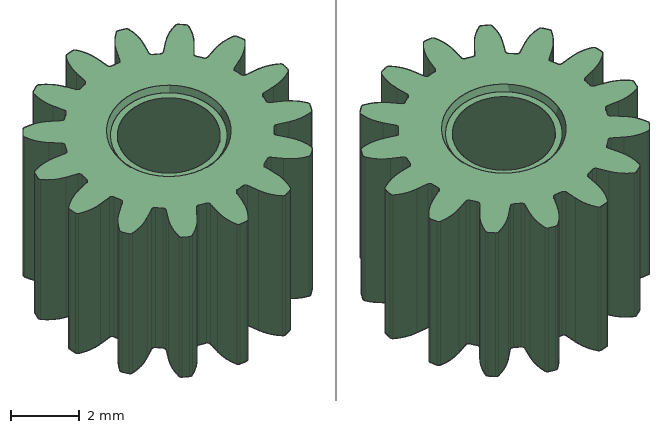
import cadquery as cq
import math

tooth_count = 15
module = 0.5
pressure_angle = math.radians(20)
tip_radius = 4.25
root_radius = 3.075
tooth_foot_width = 0.903
root_fillet = 0.1
tip_fillet = 0.1
face_width = 6.0

bore_diameter = 3.0
recess_floor_diameter = 3.4
recess_depth = 0.2
recess_wall_angle = math.radians(30)

pitch_radius = module * tooth_count / 2
base_radius = pitch_radius * math.cos(pressure_angle)
pitch_angle = 2 * math.pi / tooth_count
mid_flank_radius = (base_radius + tip_radius) / 2
first_tooth_angle = math.pi


def involute(angle):
    """Involute function of a pressure angle."""
    return math.tan(angle) - angle


def half_tooth_angle(radius):
    """Angle from the tooth centre line to the involute flank at a radius."""
    local_pressure_angle = math.acos(base_radius / radius)
    return pitch_angle / 4 + involute(pressure_angle) - involute(local_pressure_angle)


def polar(radius, angle):
    """XY point at a radius and angle about the gear axis."""
    return (radius * math.cos(angle), radius * math.sin(angle))


def flank_point(radius, side):
    """Point on a flank of the tooth centred on the X axis; side is +1 or -1."""
    return polar(radius, side * half_tooth_angle(radius))


def fillet_edges_at(body, points, fillet_radius):
    """Round the lengthwise edges that run through the given XY points."""
    edges = cq.Workplane("XY").newObject([])
    for point in points:
        nearest = cq.selectors.NearestToPointSelector((*point, face_width / 2))
        edges = edges.add(body.edges("|Z").edges(nearest))
    return cq.Workplane("XY").newObject([body.val().fillet(fillet_radius, edges.vals())])


def make_tooth():
    """One tooth centred on the X axis, with half of the root land on each side."""
    foot_angle = math.asin(tooth_foot_width / 2 / root_radius)
    land_middle_angle = (foot_angle + pitch_angle / 2) / 2
    right_foot = polar(root_radius, -foot_angle)
    left_foot = polar(root_radius, foot_angle)
    right_tip = flank_point(tip_radius, -1)
    left_tip = flank_point(tip_radius, 1)
    right_gap = polar(root_radius, -pitch_angle / 2)
    left_gap = polar(root_radius, pitch_angle / 2)
    right_land_middle = polar(root_radius, -land_middle_angle)
    left_land_middle = polar(root_radius, land_middle_angle)
    tooth = (
        cq.Workplane("XY")
        .lineTo(*right_gap)
        .threePointArc(right_land_middle, right_foot)
        .lineTo(*flank_point(base_radius, -1))
        .threePointArc(flank_point(mid_flank_radius, -1), right_tip)
        .threePointArc((tip_radius, 0), left_tip)
        .threePointArc(flank_point(mid_flank_radius, 1), flank_point(base_radius, 1))
        .lineTo(*left_foot)
        .threePointArc(left_land_middle, left_gap)
        .close()
        .extrude(face_width)
    )
    tooth = fillet_edges_at(tooth, [right_tip, left_tip], tip_fillet)
    return fillet_edges_at(tooth, [right_foot, left_foot], root_fillet)


def make_toothed_body():
    tooth = make_tooth()
    body = cq.Workplane("XY").circle(root_radius).extrude(face_width)
    for index in range(tooth_count):
        turn = math.degrees(first_tooth_angle + index * pitch_angle)
        body = body.union(tooth.rotate((0, 0, 0), (0, 0, 1), turn))
    return body.clean()


def make_bore():
    """Revolved cutter: through bore with a tapered recess at the top face."""
    floor_height = face_width - recess_depth
    floor_radius = recess_floor_diameter / 2
    rim_radius = floor_radius + recess_depth * math.tan(recess_wall_angle)
    return (
        cq.Workplane("XZ")
        .moveTo(0, 0)
        .lineTo(bore_diameter / 2, 0)
        .lineTo(bore_diameter / 2, floor_height)
        .lineTo(floor_radius, floor_height)
        .lineTo(rim_radius, face_width)
        .lineTo(0, face_width)
        .close()
        .revolve(360, (0, 0, 0), (0, 1, 0))
    )


result = make_toothed_body().cut(make_bore())